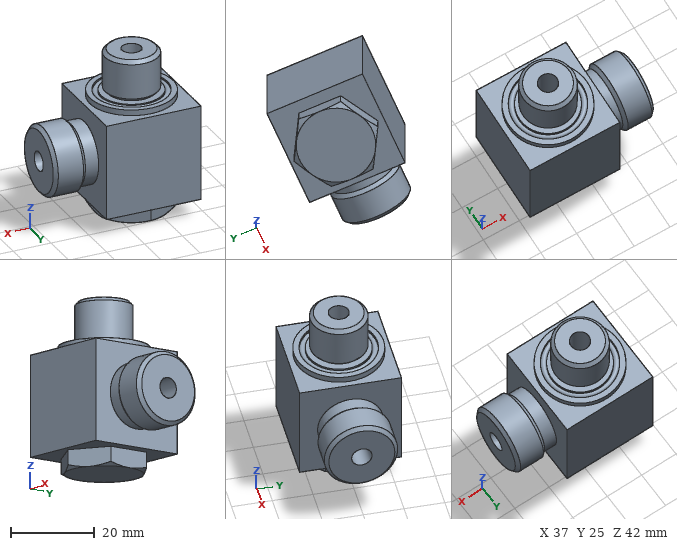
import cadquery as cq
import math

body_size = 25.0
body_half = body_size / 2

collar_diameter = 22.0
collar_height = 1.5
collar_top = body_half + collar_height

stud_diameter = 14.0
stud_length = 11.0
stud_top = collar_top + stud_length

port_diameter = 18.0
port_length = 12.0
port_neck_length = 3.5
port_end = body_half + port_length

thread_depth = 0.92

groove_inner_diameter = 16.0
groove_outer_diameter = 19.0
seal_section_radius = (groove_outer_diameter - groove_inner_diameter) / 4
seal_center_radius = (groove_outer_diameter + groove_inner_diameter) / 4
groove_depth = seal_section_radius

hex_sides = 6
hex_across_flats = 19.0
hex_height = 4.5
hex_chamfer_angle = 30.0

bore_diameter = 5.0
bore_radius = bore_diameter / 2


def make_collar():
    collar = cq.Workplane("XY").workplane(offset=body_half).circle(collar_diameter / 2).extrude(collar_height)
    groove = (
        cq.Workplane("XY")
        .workplane(offset=collar_top)
        .circle(groove_outer_diameter / 2)
        .circle(groove_inner_diameter / 2)
        .extrude(-groove_depth)
    )
    seal = (
        cq.Workplane("XZ")
        .center(seal_center_radius, collar_top - groove_depth)
        .circle(seal_section_radius)
        .revolve(360, (-seal_center_radius, 0), (-seal_center_radius, 1))
    )
    return collar.cut(groove).union(seal)


def make_stud():
    return (
        cq.Workplane("XY")
        .workplane(offset=collar_top)
        .circle(stud_diameter / 2)
        .extrude(stud_length)
        .faces("<Z or >Z")
        .chamfer(thread_depth)
    )


def make_port():
    neck = (
        cq.Workplane("YZ")
        .workplane(offset=body_half)
        .circle(port_diameter / 2 - thread_depth)
        .extrude(port_neck_length)
    )
    thread = (
        cq.Workplane("YZ")
        .workplane(offset=body_half + port_neck_length)
        .circle(port_diameter / 2)
        .extrude(port_length - port_neck_length)
        .faces("<X or >X")
        .chamfer(thread_depth)
    )
    return neck.union(thread)


def make_hex_head():
    corner_radius = hex_across_flats / 2 / math.cos(math.pi / hex_sides)
    chamfer_run = corner_radius - hex_across_flats / 2
    chamfer_height = chamfer_run * math.tan(math.radians(hex_chamfer_angle))
    head = (
        cq.Workplane("XY")
        .workplane(offset=-body_half)
        .polygon(hex_sides, 2 * corner_radius)
        .extrude(-hex_height)
        .rotate((0, 0, 0), (0, 0, 1), 90)
    )
    bottom = -body_half - hex_height
    envelope = (
        cq.Workplane("XZ")
        .moveTo(0, bottom)
        .lineTo(hex_across_flats / 2, bottom)
        .lineTo(corner_radius, bottom + chamfer_height)
        .lineTo(corner_radius, -body_half)
        .lineTo(0, -body_half)
        .close()
        .revolve(360, (0, 0), (0, 1))
    )
    return head.intersect(envelope)


def make_passage():
    stud_bore = cq.Workplane("XY").circle(bore_radius).extrude(stud_top)
    port_bore = cq.Workplane("YZ").circle(bore_radius).extrude(port_end)
    elbow = cq.Workplane("XY").sphere(bore_radius)
    return stud_bore.union(port_bore).union(elbow)


body = cq.Workplane("XY").box(body_size, body_size, body_size)
result = (
    body.union(make_collar())
    .union(make_stud())
    .union(make_port())
    .union(make_hex_head())
    .cut(make_passage())
)